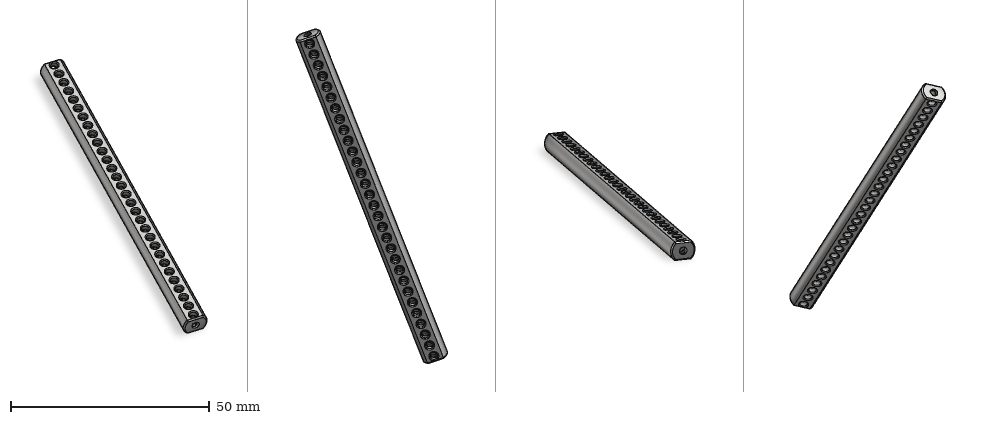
import cadquery as cq

length = 93.75
bar_diameter = 6.6
height_across_flats = 5.0
end_chamfer = 0.4

hole_count = 30
hole_diameter = 2.0
countersink_diameter = 2.5
countersink_depth = (countersink_diameter - hole_diameter) / 2
hole_pitch = length / hole_count

axial_hole_diameter = 2.0


def flatted_bar():
    """Cylinder along X, cut to flats at top and bottom, chamfered at both ends."""
    cylinder = cq.Workplane("YZ").circle(bar_diameter / 2).extrude(length / 2, both=True)
    flat_slab = cq.Workplane("XY").box(length, bar_diameter, height_across_flats)
    return cylinder.intersect(flat_slab).faces("<X or >X").chamfer(end_chamfer)


def countersunk_hole():
    """Cutter for one vertical hole, countersunk at both flats, centred on the origin."""
    half_height = height_across_flats / 2
    hole_radius = hole_diameter / 2
    countersink_radius = countersink_diameter / 2
    cone_bottom = half_height - countersink_depth
    half_section = (
        cq.Workplane("XZ")
        .moveTo(0, -half_height)
        .lineTo(countersink_radius, -half_height)
        .lineTo(hole_radius, -cone_bottom)
        .lineTo(hole_radius, cone_bottom)
        .lineTo(countersink_radius, half_height)
        .lineTo(0, half_height)
        .close()
    )
    return half_section.revolve(360, (0, 0, 0), (0, 1, 0))


bar = flatted_bar()

cutter = countersunk_hole()
first_hole_x = (hole_pitch - length) / 2
for index in range(hole_count):
    bar = bar.cut(cutter.translate((first_hole_x + index * hole_pitch, 0, 0)))

axial_hole = cq.Workplane("YZ").circle(axial_hole_diameter / 2).extrude(length / 2, both=True)
result = bar.cut(axial_hole)